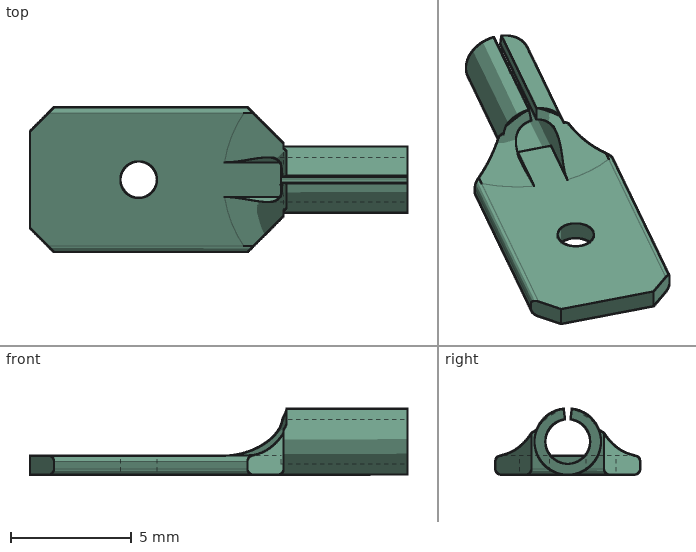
import cadquery as cq
import math

length = 15.62
tab_width = 6.0
tab_thickness = 0.8
edge_radius = 0.25
tip_chamfer = 1.0
hole_diameter = 1.5
hole_x = 4.5
barrel_radius = 1.37
bore_radius = 0.92
barrel_start = 10.62
shoulder_end_x = 10.5
bore_start = 10.39
seam_angle = 13.7

flare_axis_x = 12.85
flare_outer_radius = 4.86

half_width = tab_width / 2
flare_inner_radius = flare_axis_x - barrel_start
flare_run = flare_outer_radius - flare_inner_radius
flare_rise = 2 * barrel_radius - tab_thickness
flare_arc_radius = (flare_run**2 + flare_rise**2) / (2 * flare_rise)
shoulder_x = barrel_start - (half_width - barrel_radius)
shoulder_end_half_width = half_width - (shoulder_end_x - shoulder_x)


def make_outline():
    """Plan of the flat tab with its chamfered tip and tapering shoulders."""
    return cq.Workplane("XY").polyline([
        (0, -half_width + tip_chamfer),
        (tip_chamfer, -half_width),
        (shoulder_x, -half_width),
        (shoulder_end_x, -shoulder_end_half_width),
        (shoulder_end_x, shoulder_end_half_width),
        (shoulder_x, half_width),
        (tip_chamfer, half_width),
        (0, half_width - tip_chamfer),
    ]).close()


def make_tab():
    """Flat tab with rounded long edges and a rounded lower rear edge."""
    bar = cq.Workplane("XY").box(shoulder_end_x, tab_width, tab_thickness, centered=(False, True, False))
    bar = bar.edges("|X").fillet(edge_radius)
    bar = bar.faces(">X").edges("<Z").fillet(edge_radius)
    return bar.intersect(make_outline().extrude(tab_thickness))


def make_flare():
    """Concave transition from the tab top up to the barrel end."""
    middle_angle = math.asin(flare_run / flare_arc_radius) / 2
    middle_radius = flare_outer_radius - flare_arc_radius * math.sin(middle_angle)
    middle_z = tab_thickness + flare_arc_radius * (1 - math.cos(middle_angle))
    top_z = 2 * barrel_radius
    flare = (
        cq.Workplane("XZ")
        .moveTo(0, 0)
        .lineTo(flare_outer_radius, 0)
        .lineTo(flare_outer_radius, tab_thickness)
        .threePointArc((middle_radius, middle_z), (flare_inner_radius, top_z))
        .lineTo(0, top_z)
        .close()
        .revolve(360, (0, 0), (0, 1))
        .translate((flare_axis_x, 0, 0))
    )
    flat_width = tab_width - 2 * edge_radius
    between_edges = cq.Workplane("XY", origin=(0, 0, tab_thickness / 2)).box(
        length, flat_width, top_z, centered=(False, True, False)
    )
    on_tab = flare.intersect(make_outline().extrude(top_z)).intersect(between_edges)
    on_barrel = flare.intersect(make_cylinder(barrel_radius, shoulder_x, barrel_start))
    return on_tab.union(on_barrel)


def make_cylinder(radius, start_x, end_x=length):
    """Cylinder on the barrel axis, from start_x to end_x."""
    return cq.Workplane("YZ", origin=(start_x, 0, barrel_radius)).circle(radius).extrude(end_x - start_x)


def make_bore():
    """Bore, cut only down to the tab top ahead of bore_start."""
    above_tab = cq.Workplane("XY", origin=(0, 0, tab_thickness)).box(
        length, tab_width, 2 * barrel_radius, centered=(False, True, False)
    )
    front_bore = make_cylinder(bore_radius, 0).intersect(above_tab)
    return front_bore.union(make_cylinder(bore_radius, bore_start))


def make_seam():
    """Wedge that opens the barrel along its top, with radial walls."""
    height = 2 * barrel_radius
    half_gap = height * math.tan(math.radians(seam_angle / 2))
    return (
        cq.Workplane("YZ", origin=(0, 0, barrel_radius))
        .polyline([(0, 0), (half_gap, height), (-half_gap, height)])
        .close()
        .extrude(length)
    )


hole = cq.Workplane("XY").center(hole_x, 0).circle(hole_diameter / 2).extrude(tab_thickness)

result = (
    make_tab()
    .union(make_flare())
    .union(make_cylinder(barrel_radius, barrel_start))
    .cut(make_bore())
    .cut(make_seam())
    .cut(hole)
)